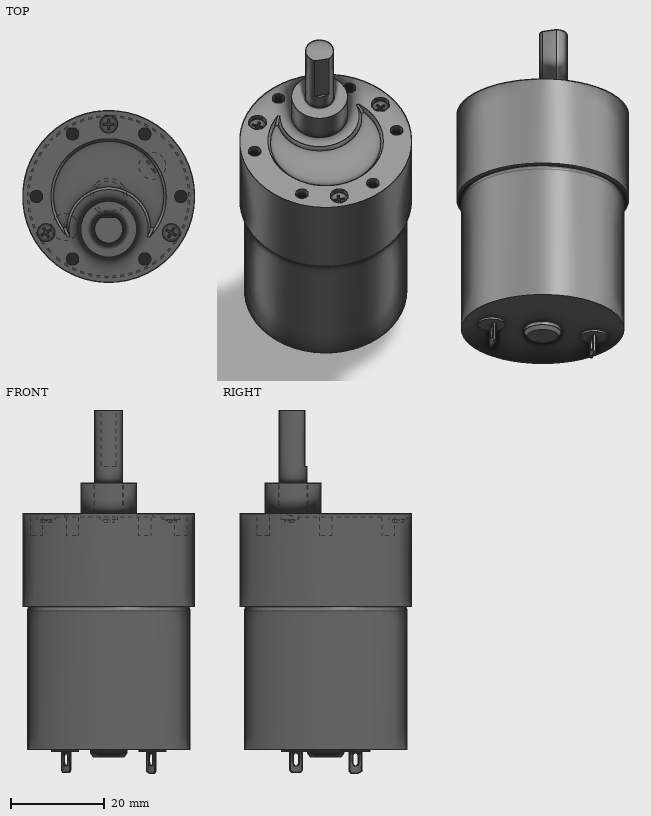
import cadquery as cq

total_height = 77.7
terminal_length = 5.1
can_length = 30.6
gearbox_length = 19.9
boss_height = 6.5
gearbox_bottom = can_length
gearbox_top = gearbox_bottom + gearbox_length
boss_top = gearbox_top + boss_height
shaft_top = total_height - terminal_length

gearbox_diameter = 36.8
can_diameter = 34.8
can_shoulder_radius = 1.55
can_shoulder_visible = 0.9
hub_diameter = 7.8
hub_height = 1.6
hub_chamfer_height = 0.85
hub_chamfer_width = 0.6

shaft_offset = -7.0
shaft_diameter = 6.0
shaft_flat_depth = 0.5
shaft_flat_length = 12.0
boss_diameter = 12.0
boss_bore_diameter = 6.3

recess_outer_radius = 12.35
recess_inner_radius = 8.5
recess_depth = 0.8
recess_wall_run = 0.55
recess_tip_y = -8.6
recess_floor_tip_y = -6.7

bolt_circle_radius = 15.5
mount_hole_count = 6
mount_hole_diameter = 2.65
mount_hole_depth = 4.7
screw_count = 3
screw_start_angle = 90
screw_pocket_diameter = 3.8
screw_pocket_depth = 1.25
cross_length = 2.3
cross_width = 0.5
cross_depth = 0.6

terminal_angle = 35
terminal_radius = 11.1
short_terminal_length = 4.9
terminal_width = 3.0
terminal_thickness = 0.4
terminal_chamfer = 0.5
long_terminal_corner_run = 1.1
slot_length = 2.9
slot_width = 1.6
slot_depth_below_can = 2.1
insulator_radius = 11.4
insulator_diameter = 5.75
insulator_thickness = 0.5


def cylinder(diameter, bottom, top, y=0):
    return cq.Workplane("XY", origin=(0, y, bottom)).circle(diameter / 2).extrude(top - bottom)


def make_can():
    """Motor can whose rounded shoulder runs up into the gearbox."""
    shoulder_top = can_length - can_shoulder_visible + can_shoulder_radius
    can = cylinder(can_diameter, 0, shoulder_top)
    return can.faces(">Z").edges().fillet(can_shoulder_radius)


def make_hub():
    """Rear bearing hub with a chamfered rim."""
    hub = cylinder(hub_diameter, -hub_height, 0)
    return hub.faces("<Z").edges().chamfer(hub_chamfer_height, hub_chamfer_width)


def make_boss():
    """Bearing boss with a clearance bore around the shaft."""
    boss = cylinder(boss_diameter, gearbox_top, boss_top, shaft_offset)
    return boss.cut(cylinder(boss_bore_diameter, gearbox_top, boss_top, shaft_offset))


def make_shaft():
    """Output shaft with a D flat along its upper end."""
    shaft = cylinder(shaft_diameter, gearbox_top, shaft_top, shaft_offset)
    flat_y = shaft_offset + shaft_diameter / 2 - shaft_flat_depth
    flat_cut = cq.Workplane("XY").box(
        shaft_diameter, shaft_diameter, shaft_flat_length, centered=(True, False, False)
    )
    return shaft.cut(flat_cut.translate((0, flat_y, shaft_top - shaft_flat_length)))


def recess_cone(floor_radius, top_radius, y):
    cone = cq.Solid.makeCone(floor_radius, top_radius, recess_depth)
    return cq.Workplane(cone.translate(cq.Vector(0, y, gearbox_top - recess_depth)))


def make_recess():
    """Crescent left between two cones, with each tip cut off by a sloping end."""
    bowl = recess_cone(recess_outer_radius - recess_wall_run, recess_outer_radius, 0)
    island = recess_cone(recess_inner_radius + recess_wall_run, recess_inner_radius, shaft_offset)
    recess_floor = gearbox_top - recess_depth
    tip_limit = (
        cq.Workplane("YZ")
        .moveTo(recess_floor_tip_y, recess_floor)
        .lineTo(recess_tip_y, gearbox_top)
        .lineTo(recess_outer_radius, gearbox_top)
        .lineTo(recess_outer_radius, recess_floor)
        .close()
        .extrude(recess_outer_radius, both=True)
    )
    return bowl.cut(island).intersect(tip_limit)


def make_mount_holes():
    holes = cq.Workplane("XY", origin=(0, 0, gearbox_top))
    holes = holes.polarArray(bolt_circle_radius, 0, 360, mount_hole_count)
    return holes.circle(mount_hole_diameter / 2).extrude(-mount_hole_depth)


def make_screw_pockets():
    """Round pockets down to the screw heads, each head with a cross recess."""
    spots = cq.Workplane("XY", origin=(0, 0, gearbox_top))
    spots = spots.polarArray(bolt_circle_radius, screw_start_angle, 360, screw_count)
    pockets = spots.circle(screw_pocket_diameter / 2).extrude(-screw_pocket_depth)
    cross_bottom = -(screw_pocket_depth + cross_depth)
    for length, width in ((cross_length, cross_width), (cross_width, cross_length)):
        pockets = pockets.union(spots.rect(length, width).extrude(cross_bottom))
    return pockets


def make_terminal(length, angle, corner_run):
    """Slotted solder tab square to the radial direction, with its insulating disc.

    The two bottom corners are cut equally high; corner_run is the width of the cut on one of them.
    """
    half_width = terminal_width / 2
    corner_z = terminal_chamfer - length
    tab = (
        cq.Workplane("YZ")
        .moveTo(-half_width, 0)
        .lineTo(-half_width, corner_z)
        .lineTo(terminal_chamfer - half_width, -length)
        .lineTo(half_width - corner_run, -length)
        .lineTo(half_width, corner_z)
        .lineTo(half_width, 0)
        .close()
        .extrude(terminal_thickness / 2, both=True)
    )
    slot = (
        cq.Workplane("YZ")
        .center(0, -slot_depth_below_can)
        .slot2D(slot_length, slot_width, 90)
        .extrude(terminal_thickness, both=True)
    )
    tab = tab.cut(slot).translate((terminal_radius, 0, 0))
    disc = cylinder(insulator_diameter, -insulator_thickness, 0).translate((insulator_radius, 0, 0))
    return disc.union(tab).rotate((0, 0, 0), (0, 0, 1), angle)


gearbox = cylinder(gearbox_diameter, gearbox_bottom, gearbox_top)
gearbox = gearbox.cut(make_recess()).cut(make_mount_holes()).cut(make_screw_pockets())

result = gearbox.union(make_can()).union(make_hub()).union(make_boss()).union(make_shaft())
result = result.union(make_terminal(terminal_length, terminal_angle, long_terminal_corner_run))
result = result.union(make_terminal(short_terminal_length, terminal_angle + 180, terminal_chamfer))